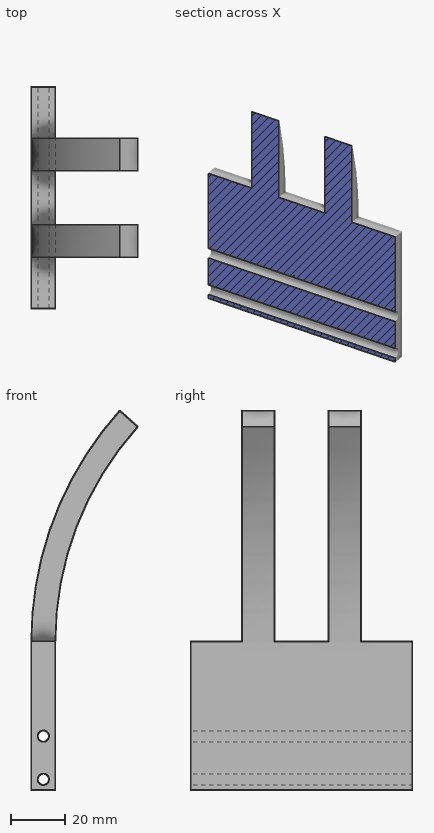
import cadquery as cq
import math

thickness = 9.0
plate_width = 82.0
plate_height = 55.0

total_height = 140.3
arm_width = 12.0
arm_gap = 19.9
arm_sweep = math.radians(42)
arm_rise = total_height - plate_height
outer_radius = arm_rise / math.sin(arm_sweep)
inner_radius = outer_radius - thickness

hole_diameter = 4.0
hole_heights = (3.9, 19.9)


def arc_point(radius, angle):
    """Point on an arm arc, at an angle above the top of the plate."""
    return (outer_radius - radius * math.cos(angle), plate_height + radius * math.sin(angle))


def make_arm(center_y):
    """Bar that leaves the plate vertically and bends toward +X."""
    return (
        cq.Workplane("XZ", origin=(0, center_y, 0))
        .moveTo(*arc_point(outer_radius, 0))
        .threePointArc(arc_point(outer_radius, arm_sweep / 2), arc_point(outer_radius, arm_sweep))
        .lineTo(*arc_point(inner_radius, arm_sweep))
        .threePointArc(arc_point(inner_radius, arm_sweep / 2), arc_point(inner_radius, 0))
        .close()
        .extrude(arm_width / 2, both=True)
    )


def make_holes():
    """Cylinders along Y, centred in the plate thickness."""
    return (
        cq.Workplane("XZ")
        .pushPoints([(thickness / 2, height) for height in hole_heights])
        .circle(hole_diameter / 2)
        .extrude(plate_width / 2, both=True)
    )


result = cq.Workplane("XY").box(thickness, plate_width, plate_height, centered=(False, True, False))

arm_offset = (arm_gap + arm_width) / 2
for side in (-1, 1):
    result = result.union(make_arm(side * arm_offset))

result = result.cut(make_holes())